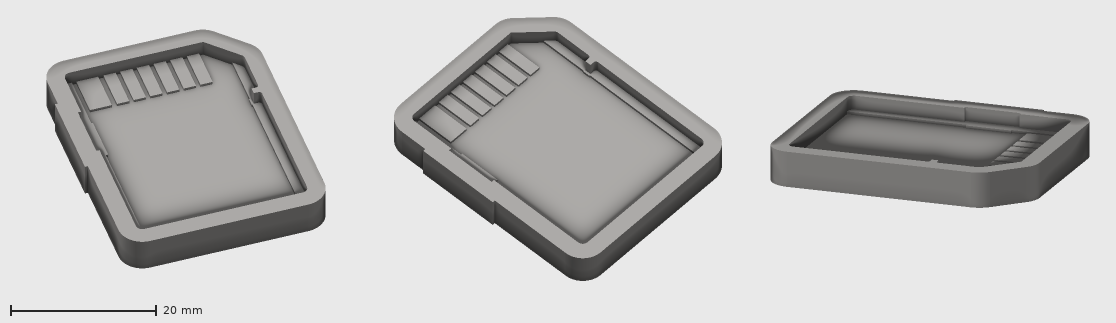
import cadquery as cq
import math

length = 37.87
width = 29.9
height = 5.07
outer_radius = 3.45

wall = 2.55
cavity_radius = 0.9
inner_chamfer = 4.45
outer_chamfer = inner_chamfer + wall * (2 - math.sqrt(2))
rim_to_ledge = 2.0
ledge_height = 0.4
ledge_z = height - rim_to_ledge
floor_z = ledge_z - ledge_height
cavity_back = width - wall
cavity_right = length - wall

grip_left = 7.88
grip_right = 21.0
grip_projection = 0.4

recess_left = 10.4
recess_right = 18.48
recess_depth = 0.45

front_ledge_left_y = 3.82
front_ledge_middle_y = 4.05
front_ledge_right_y = 3.7
ledge_middle_left = 11.05
ledge_middle_right = 17.72
back_ledge_y = 26.1

key_left = 13.45
key_right = 14.43
key_tip_y = 26.32
key_root_radius = 0.4
bump_margin = 0.1
bump_projection = 0.1

contact_right = 8.52
contact_width = 1.78
contact_pitch = 2.42
contact_count = 6
contact_back_y = 22.3
contact_height = 0.4
wide_contact_front = 4.45
wide_contact_back = 7.65


def box(left, right, front, back, bottom, top):
    """Axis-aligned block between the given limits."""
    block = cq.Workplane("XY").box(right - left, back - front, top - bottom, centered=False)
    return block.translate((left, front, bottom))


def clipped_block(left, right, front, back, chamfer, bottom, top):
    """Block whose left-back corner is cut at 45 degrees."""
    outline = [
        (left, front),
        (right, front),
        (right, back),
        (left + chamfer, back),
        (left, back - chamfer),
    ]
    return cq.Workplane("XY").workplane(offset=bottom).polyline(outline).close().extrude(top - bottom)


def make_body():
    body = clipped_block(0, length, 0, width, outer_chamfer, 0, height).edges("|Z").fillet(outer_radius)
    return body.union(box(grip_left, grip_right, -grip_projection, wall, 0, height))


def make_cavity():
    cavity = clipped_block(wall, cavity_right, wall, cavity_back, inner_chamfer, floor_z, height)
    sharp_corner = (wall, cavity_back - inner_chamfer, (floor_z + height) / 2)
    vertical_edges = cq.selectors.ParallelDirSelector(cq.Vector(0, 0, 1))
    sharp_edge = cq.selectors.NearestToPointSelector(sharp_corner)
    rounded_edges = cq.selectors.SubtractSelector(vertical_edges, sharp_edge)
    return cavity.edges(rounded_edges).fillet(cavity_radius)


def make_ledges():
    ledges = box(wall, ledge_middle_left, wall, front_ledge_left_y, floor_z, ledge_z)
    ledges = ledges.union(
        box(ledge_middle_left, ledge_middle_right, wall, front_ledge_middle_y, floor_z, ledge_z)
    )
    ledges = ledges.union(box(ledge_middle_right, cavity_right, wall, front_ledge_right_y, floor_z, ledge_z))
    ledges = ledges.union(box(wall, cavity_right, back_ledge_y, cavity_back, floor_z, ledge_z))
    bump = box(
        key_left - bump_margin, key_right + bump_margin,
        back_ledge_y - bump_projection, cavity_back, floor_z, ledge_z,
    )
    return ledges.union(bump)


def make_key():
    """Key that flares into the back wall through concave root fillets."""
    root_y = cavity_back - key_root_radius
    outline = (
        cq.Workplane("XY").workplane(offset=floor_z)
        .moveTo(key_left - key_root_radius, cavity_back)
        .radiusArc((key_left, root_y), key_root_radius)
        .lineTo(key_left, key_tip_y)
        .lineTo(key_right, key_tip_y)
        .lineTo(key_right, root_y)
        .radiusArc((key_right + key_root_radius, cavity_back), key_root_radius)
        .close()
    )
    return outline.extrude(height - floor_z)


def make_contacts():
    top = floor_z + contact_height
    contacts = box(wall, contact_right, wide_contact_front, wide_contact_back, floor_z, top)
    for index in range(contact_count):
        back = contact_back_y - index * contact_pitch
        contacts = contacts.union(box(wall, contact_right, back - contact_width, back, floor_z, top))
    return contacts


cavity = make_cavity()
floor_details = make_ledges().union(make_contacts()).union(make_key()).intersect(cavity)
recess = box(recess_left, recess_right, wall - recess_depth, wall, ledge_z, height)
result = make_body().cut(cavity).union(floor_details).cut(recess)